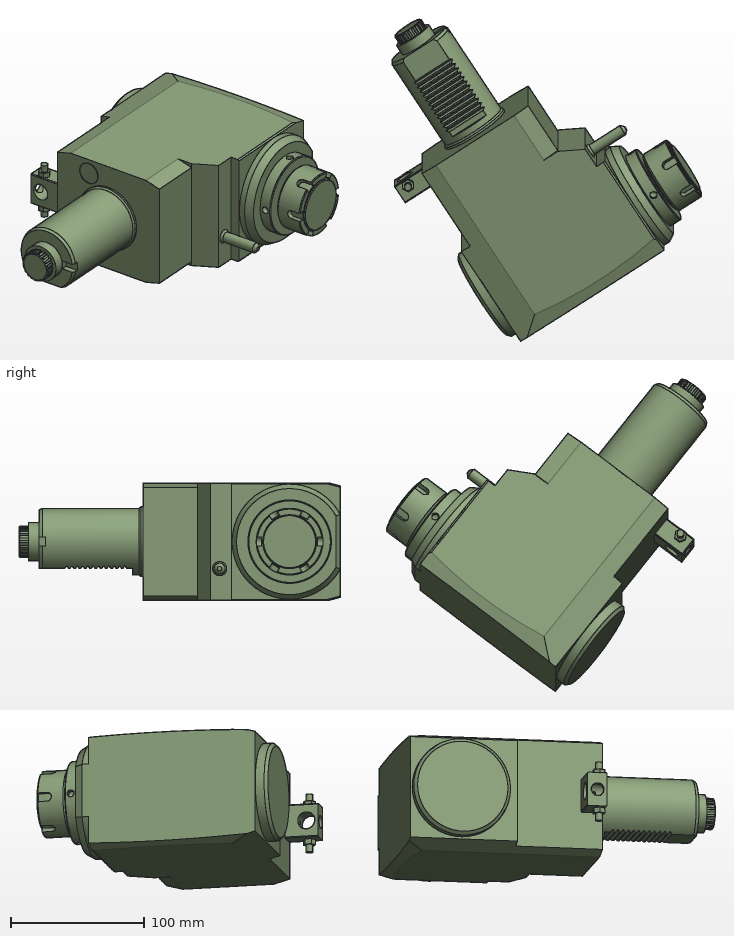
import cadquery as cq
import math


body_height = 88.0
body_half_height = body_height / 2
body_back = 148.0
spindle_y = 110.0

foot_half_width = 47.5
head_left = -55.5
head_right = 73.0
step_y = 66.3
shoulder_x = 65.5
shoulder_bottom = 50.5
foot_top = 40.7

bevel_angle = math.radians(15)
bevel_start_x = 35.0
rear_bevel_radius = 337.5
rear_bevel_x = 19.3
rear_bevel_depth = 8.0
head_edge_length = 1.5
head_edge_drop = 0.7

cap_radius = 36.9
cap_left = -64.5
cap_chamfer = 2.5

flange_radius = 43.1
flange_end = 83.6
flange_taper_length = 5.8
flange_taper_angle = 30

collar_radius = 31.3
collar_end = 93.0
collar_chamfer = 0.7
collar_hole_x = 88.2
collar_hole_radius = 2.7
collar_hole_depth = 4.8

neck_radius = 20.7
nut_start = 94.0
nut_end = 115.7
nut_radius = 25.0
nut_start_chamfer = 1.7
nut_end_chamfer = 0.7
nut_slot_count = 6
nut_slot_start = 104.5
nut_slot_width = 6.7
nut_slot_floor = 21.0
nose_radius = 20.2
nose_end = 117.1
nose_chamfer = 0.7

pin_y = 57.4
pin_z = -20.2
pin_radius = 4.0
pin_base_radius = 5.3
pin_base_length = 2.0
pin_end = 97.4
pin_chamfer = 2.5

shank_radius = 25.0
shank_length = 78.0
shank_chamfer = 2.5
root_radius = 26.3
root_length = 1.7
root_taper_end = 3.1
flat_z = -20.0
flat_start = 8.0
notch_count = 12
notch_first = 13.7
notch_last = 57.4
notch_width = 3.0
notch_depth = 1.7
key_slot_width = 6.7
key_slot_depth = 4.8

journal_radius = 14.5
journal_end = 86.0
spline_radius = 11.8
spline_root_radius = 10.5
spline_end = 93.0
spline_chamfer = 0.7
spline_tooth_count = 20

plug_x = -18.3
plug_z = 32.0
plug_radius = 8.5
plug_depth = 0.5

lug_left = -73.0
lug_front = 1.2
lug_back = 16.5
lug_height = 25.5
lug_chamfer = 0.7
lug_hole_x = -63.9
lug_hole_radius = 6.5
lug_side_hole_y = 8.5
lug_side_hole_radius = 4.8
lug_pinhole_radius = 1.2
lug_screw_y = 5.8
hex_nut_width = 9.5
hex_nut_top = 16.6
screw_radius = 2.7
screw_top = 22.2


def revolve_on_spindle(profile):
    """Turn an (x, radius) outline about the spindle axis."""
    points = [(x, spindle_y + radius) for x, radius in profile]
    axis_start = (0, spindle_y)
    axis_end = (1, spindle_y)
    return cq.Workplane("XY").polyline(points).close().revolve(360, axis_start, axis_end)


def revolve_on_shank(profile):
    """Turn a (radius, distance below the body) outline about the shank axis."""
    points = [(radius, -distance) for radius, distance in profile]
    return cq.Workplane("XY").polyline(points).close().revolve(360, (0, 0), (0, 1))


def edge_wedge(start_x, end_x, drop, length, side):
    """Wedge along Y that bevels an edge of the top (side 1) or bottom (side -1) face."""
    face_z = side * body_half_height
    points = [(start_x, face_z), (end_x, face_z), (end_x, face_z - side * drop)]
    return cq.Workplane("XZ").polyline(points).close().extrude(-length)


def make_body():
    plan = [
        (-foot_half_width, 0),
        (foot_half_width, 0),
        (foot_half_width, foot_top),
        (shoulder_x, shoulder_bottom),
        (shoulder_x, step_y),
        (head_right, step_y),
        (head_right, body_back),
        (head_left, body_back),
        (head_left, step_y),
        (-foot_half_width, step_y),
    ]
    body = cq.Workplane("XY").polyline(plan).close().extrude(body_half_height, both=True)

    left_drop = (-bevel_start_x - head_left) * math.tan(bevel_angle)
    right_drop = (foot_half_width - bevel_start_x) * math.tan(bevel_angle)
    for side in (1, -1):
        body = body.cut(edge_wedge(-bevel_start_x, head_left, left_drop, body_back, side))
        body = body.cut(edge_wedge(bevel_start_x, foot_half_width, right_drop, foot_top, side))
        body = body.cut(
            edge_wedge(head_right - head_edge_length, head_right, head_edge_drop, body_back, side)
        )

    cone_growth = body_half_height / math.tan(bevel_angle)
    wide_radius = rear_bevel_radius + cone_growth
    cone_half = (
        cq.Workplane("XZ")
        .polyline([
            (0, 0),
            (wide_radius, 0),
            (rear_bevel_radius, body_half_height),
            (0, body_half_height),
        ])
        .close()
        .revolve(360, (0, 0), (0, 1))
    )
    cone = cone_half.union(cone_half.mirror("XY"))
    cone_y = body_back - rear_bevel_depth - rear_bevel_radius
    return body.intersect(cone.translate((rear_bevel_x, cone_y, 0)))


def make_cap():
    return revolve_on_spindle([
        (cap_left, 0),
        (cap_left, cap_radius - cap_chamfer),
        (cap_left + cap_chamfer, cap_radius),
        (head_left, cap_radius),
        (head_left, 0),
    ])


def make_flange():
    """Round flange cut flat along the back of the body, with a bevelled outer edge."""
    flat_distance = body_back - spindle_y
    half_chord = math.sqrt(flange_radius**2 - flat_distance**2)
    straight_length = flange_end - head_right - flange_taper_length
    outline = (
        cq.Workplane("YZ", origin=(head_right, spindle_y, 0))
        .moveTo(flat_distance, -half_chord)
        .lineTo(flat_distance, half_chord)
        .threePointArc((-flange_radius, 0), (flat_distance, -half_chord))
        .close()
    )
    straight = outline.extrude(straight_length)
    tapered = straight.faces(">X").wires().toPending().workplane().extrude(
        flange_taper_length, taper=flange_taper_angle, combine=False
    )
    return straight.union(tapered)


def make_spindle():
    spindle = revolve_on_spindle([
        (flange_end, 0),
        (flange_end, collar_radius),
        (collar_end - collar_chamfer, collar_radius),
        (collar_end, collar_radius - collar_chamfer),
        (collar_end, neck_radius),
        (nut_start, neck_radius),
        (nut_start, nut_radius - nut_start_chamfer),
        (nut_start + nut_start_chamfer, nut_radius),
        (nut_end - nut_end_chamfer, nut_radius),
        (nut_end, nut_radius - nut_end_chamfer),
        (nut_end, nose_radius),
        (nose_end - nose_chamfer, nose_radius),
        (nose_end, nose_radius - nose_chamfer),
        (nose_end, 0),
    ])

    hole_floor = collar_radius - collar_hole_depth
    hole = (
        cq.Workplane("XZ")
        .polyline([
            (0, hole_floor - collar_hole_radius / 2),
            (collar_hole_radius, hole_floor),
            (collar_hole_radius, collar_radius),
            (0, collar_radius),
        ])
        .close()
        .revolve(360, (0, 0), (0, 1))
        .translate((collar_hole_x, spindle_y, 0))
    )
    for angle in range(0, 360, 90):
        spindle = spindle.cut(hole.rotate((0, spindle_y, 0), (1, spindle_y, 0), angle))

    slot_half_width = nut_slot_width / 2
    straight_start = nut_slot_start + slot_half_width
    slot = (
        cq.Workplane("XY", origin=(0, spindle_y, nut_slot_floor))
        .moveTo(nut_end, -slot_half_width)
        .lineTo(nut_end, slot_half_width)
        .lineTo(straight_start, slot_half_width)
        .threePointArc((nut_slot_start, 0), (straight_start, -slot_half_width))
        .close()
        .extrude(nut_radius)
    )
    for index in range(nut_slot_count):
        angle = 90 + index * 360 / nut_slot_count
        spindle = spindle.cut(slot.rotate((0, spindle_y, 0), (1, spindle_y, 0), angle))
    return spindle


def make_pin():
    pin_outline = [
        (shoulder_x, 0),
        (shoulder_x, pin_base_radius),
        (shoulder_x + pin_base_length, pin_radius),
        (pin_end - pin_chamfer, pin_radius),
        (pin_end, pin_radius - pin_chamfer),
        (pin_end, 0),
    ]
    return (
        cq.Workplane("XY")
        .polyline(pin_outline)
        .close()
        .revolve(360, (0, 0), (1, 0))
        .translate((0, pin_y, pin_z))
    )


def make_shank():
    shank = revolve_on_shank([
        (0, 0),
        (root_radius, 0),
        (root_radius, root_length),
        (shank_radius, root_taper_end),
        (shank_radius, shank_length - shank_chamfer),
        (shank_radius - shank_chamfer / 2, shank_length),
        (journal_radius, shank_length),
        (journal_radius, journal_end),
        (0, journal_end),
    ])

    flat_cut = cq.Workplane("XY").box(
        2 * shank_radius, shank_length - flat_start, shank_radius, centered=(True, False, False)
    )
    shank = shank.cut(flat_cut.translate((0, -shank_length, flat_z - shank_radius)))
    notch_pitch = (notch_last - notch_first) / (notch_count - 1)
    for index in range(notch_count):
        notch_y = -(notch_first + index * notch_pitch)
        notch = (
            cq.Workplane("YZ")
            .polyline([
                (notch_y - notch_width / 2, flat_z),
                (notch_y, flat_z + notch_depth),
                (notch_y + notch_width / 2, flat_z),
            ])
            .close()
            .extrude(shank_radius, both=True)
        )
        shank = shank.cut(notch)

    key_slot = cq.Workplane("XY").box(
        shank_radius, key_slot_depth, key_slot_width, centered=(False, False, True)
    )
    return shank.cut(key_slot.translate((journal_radius, -shank_length, 0)))


def make_spline():
    """Toothed drive end below the journal."""
    spline = revolve_on_shank([
        (0, journal_end),
        (spline_radius, journal_end),
        (spline_radius, spline_end - spline_chamfer),
        (spline_radius - spline_chamfer, spline_end),
        (0, spline_end),
    ])
    tooth_pitch = 2 * math.pi * spline_radius / spline_tooth_count
    gap_length = spline_end - journal_end
    gap = cq.Workplane("XY").box(
        tooth_pitch / 2, gap_length, spline_radius, centered=(True, False, False)
    )
    gap = gap.translate((0, -spline_end, spline_root_radius))
    for index in range(spline_tooth_count):
        angle = (index + 0.5) * 360 / spline_tooth_count
        spline = spline.cut(gap.rotate((0, 0, 0), (0, 1, 0), angle))
    return spline


def make_lug():
    lug = (
        cq.Workplane("XY")
        .box(-foot_half_width - lug_left, lug_back - lug_front, lug_height, centered=(False, False, True))
        .translate((lug_left, lug_front, 0))
        .edges("|X")
        .chamfer(lug_chamfer)
    )
    cross_hole = (
        cq.Workplane("XZ", origin=(lug_hole_x, 0, 0)).circle(lug_hole_radius).extrude(-body_back)
    )
    side_hole = (
        cq.Workplane("YZ", origin=(lug_left, lug_side_hole_y, 0))
        .circle(lug_side_hole_radius)
        .extrude(lug_hole_x - lug_left)
    )
    pinhole = (
        cq.Workplane("YZ", origin=(lug_hole_x, lug_side_hole_y, 0))
        .circle(lug_pinhole_radius)
        .extrude(-foot_half_width - lug_hole_x)
    )
    lug = lug.cut(cross_hole).cut(side_hole).cut(pinhole)

    lug_top = lug_height / 2
    seat = cq.Workplane("XY", origin=(lug_hole_x, lug_screw_y, lug_top))
    hex_nut = seat.polygon(6, hex_nut_width).extrude(hex_nut_top - lug_top)
    screw = seat.circle(screw_radius).extrude(screw_top - lug_top)
    fastener = hex_nut.union(screw)
    return lug.union(fastener).union(fastener.mirror("XY"))


def make_plug_recess():
    return (
        cq.Workplane("XZ", origin=(plug_x, 0, plug_z)).circle(plug_radius).extrude(-plug_depth)
    )


result = make_body().cut(make_plug_recess())
for piece in (
    make_cap(),
    make_flange(),
    make_spindle(),
    make_pin(),
    make_shank(),
    make_spline(),
    make_lug(),
):
    result = result.union(piece)